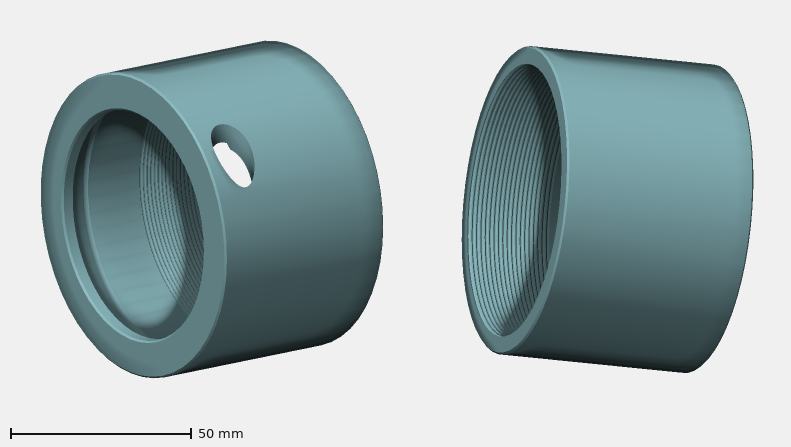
import cadquery as cq

outer_radius = 43.0
length = 55.0
front = -length / 2
back = length / 2
edge_chamfer = 0.5

lip_radius = 32.5
lip_end = -23.9
relief_radius = 39.05
relief_start = -22.7
relief_end = -15.3
cavity_radius = 38.0
cavity_start = -14.45

thread_pitch = 1.3
thread_depth = 0.5
thread_crest = 0.35
thread_count = 19
thread_start = back - thread_count * thread_pitch

port_radius = 6.0
port_x = 32.9
port_y = front + 10.1


def make_body():
    body = cq.Workplane("XZ", origin=(0, back, 0)).circle(outer_radius).extrude(length)
    return body.faces("<Y or >Y").edges().chamfer(edge_chamfer)


def make_bore():
    outline = [
        (0, front),
        (lip_radius + edge_chamfer, front),
        (lip_radius, front + edge_chamfer),
        (lip_radius, lip_end),
        (relief_radius, relief_start),
        (relief_radius, relief_end),
        (cavity_radius, cavity_start),
    ]
    for ring in range(thread_count):
        ring_start = thread_start + ring * thread_pitch
        ring_end = ring_start + thread_pitch
        groove_start = ring_start + thread_crest
        outline.append((cavity_radius, groove_start))
        outline.append((cavity_radius + thread_depth, (groove_start + ring_end) / 2))
        outline.append((cavity_radius, ring_end))
    outline.append((0, back))
    return cq.Workplane("XY").polyline(outline).close().revolve(360, (0, 0, 0), (0, 1, 0))


def make_port():
    return cq.Workplane("XY").center(port_x, port_y).circle(port_radius).extrude(outer_radius)


result = make_body().cut(make_bore()).cut(make_port())